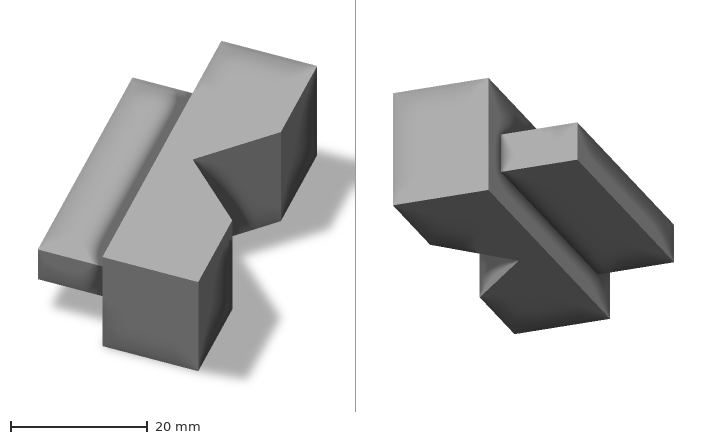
import cadquery as cq

block_depth = 15.0
block_length = 49.0
block_height = 18.0

tongue_projection = 12.0
tongue_length = 39.0
tongue_thickness = 6.0
tongue_end_margin = (block_length - tongue_length) / 2
tongue_bottom = 5.0

notch_depth = 10.0
notch_half_width = notch_depth
notch_center = 24.0


def make_block():
    return cq.Workplane("XY").box(block_depth, block_length, block_height, centered=False)


def make_tongue():
    return (
        cq.Workplane("XY")
        .box(tongue_projection, tongue_length, tongue_thickness, centered=False)
        .translate((-tongue_projection, tongue_end_margin, tongue_bottom))
    )


def make_notch():
    return (
        cq.Workplane("XY")
        .moveTo(block_depth, notch_center - notch_half_width)
        .lineTo(block_depth - notch_depth, notch_center)
        .lineTo(block_depth, notch_center + notch_half_width)
        .close()
        .extrude(block_height)
    )


result = make_block().union(make_tongue()).cut(make_notch())